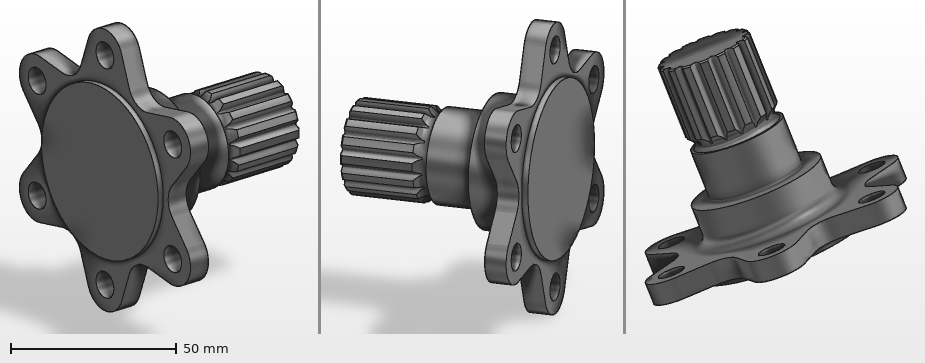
import math

import cadquery as cq


LOBE_COUNT = 6
BOLT_CIRCLE_RADIUS = 37.5
BOLT_HOLE_DIAMETER = 8.5
LOBE_RADIUS = 8.5
WAIST_RADIUS = 8.0
LOBE_TAPER = math.radians(20)
DISC_RADIUS = 27.9
DISC_THICKNESS = 2.0
FLANGE_THICKNESS = 7.0

SHOULDER_RADIUS = 21.0
SHOULDER_END = 22.0
SHOULDER_FILLET = 4.0
NECK_RADIUS = 15.0
NECK_END = 38.0
NECK_FILLET = 0.8

GROOVE_FLOOR_RADIUS = 13.0
GROOVE_ARC_RADIUS = 2.2
GROOVE_CENTRE_OFFSET = 1.85
GROOVE_EXIT_ANGLE = math.radians(45)
GROOVE_CENTRE_Y = NECK_END + GROOVE_CENTRE_OFFSET

SHAFT_END = 66.0
TOOTH_COUNT = 16
SPLINE_MODULE = 5 / 3
PRESSURE_ANGLE = math.radians(30)
TIP_RADIUS = NECK_RADIUS - SPLINE_MODULE / 10
ROOT_STEP = 0.01
ROOT_RADIUS = GROOVE_FLOOR_RADIUS + ROOT_STEP
TIP_HALF_ANGLE = math.radians(4.83)
ROOT_FILLET = 0.3
TIP_CHAMFER = 0.5
CUT_CLEARANCE = 0.3

FLANGE_BACK = DISC_THICKNESS + FLANGE_THICKNESS


def polar(radius, angle):
    """Point at an angle from the first axis of the sketch plane."""
    return radius * math.cos(angle), radius * math.sin(angle)


def plane_facing_shaft(y):
    """Plane at height y along the shaft: sketch x is Z, sketch y is X, normal is +Y."""
    return cq.Plane(origin=(0, y, 0), xDir=(0, 0, 1), normal=(0, 1, 0))


def offset_from(centre, radius, angle):
    """Point at a radius and angle from a given centre."""
    dx, dy = polar(radius, angle)
    return centre[0] + dx, centre[1] + dy


def make_flange():
    """Six tapered lobes joined by concave waist arcs, each lobe with a bolt hole."""
    pitch = 2 * math.pi / LOBE_COUNT
    flank_normal = math.pi / 2 - LOBE_TAPER
    flank_distance = BOLT_CIRCLE_RADIUS * math.cos(flank_normal) + LOBE_RADIUS
    waist_centre_radius = (flank_distance + WAIST_RADIUS) / math.cos(flank_normal - pitch / 2)

    def lobe_start(axis):
        return offset_from(polar(BOLT_CIRCLE_RADIUS, axis), LOBE_RADIUS, axis - flank_normal)

    base = cq.Workplane(plane_facing_shaft(DISC_THICKNESS))
    outline = base.moveTo(*lobe_start(0))
    for index in range(LOBE_COUNT):
        axis = index * pitch
        next_axis = axis + pitch
        waist_axis = axis + pitch / 2
        lobe_tip = polar(BOLT_CIRCLE_RADIUS + LOBE_RADIUS, axis)
        lobe_end = offset_from(polar(BOLT_CIRCLE_RADIUS, axis), LOBE_RADIUS, axis + flank_normal)
        waist_centre = polar(waist_centre_radius, waist_axis)
        waist_start = offset_from(waist_centre, WAIST_RADIUS, axis + flank_normal + math.pi)
        waist_middle = polar(waist_centre_radius - WAIST_RADIUS, waist_axis)
        waist_end = offset_from(waist_centre, WAIST_RADIUS, next_axis - flank_normal + math.pi)

        outline = outline.threePointArc(lobe_tip, lobe_end)
        outline = outline.lineTo(*waist_start)
        outline = outline.threePointArc(waist_middle, waist_end)
        if index < LOBE_COUNT - 1:
            outline = outline.lineTo(*lobe_start(next_axis))
    flange = outline.close().extrude(FLANGE_THICKNESS)

    holes = (
        base.polarArray(BOLT_CIRCLE_RADIUS, 0, 360, LOBE_COUNT)
        .circle(BOLT_HOLE_DIAMETER / 2)
        .extrude(FLANGE_THICKNESS)
    )
    return flange.cut(holes)


def make_shaft():
    """Revolved disc, shoulder, neck, relief groove and spline blank."""
    groove_centre_radius = GROOVE_FLOOR_RADIUS + GROOVE_ARC_RADIUS
    groove_start_radius = groove_centre_radius - math.sqrt(GROOVE_ARC_RADIUS**2 - GROOVE_CENTRE_OFFSET**2)
    groove_exit_radius = groove_centre_radius - GROOVE_ARC_RADIUS * math.cos(GROOVE_EXIT_ANGLE)
    groove_exit_y = GROOVE_CENTRE_Y + GROOVE_ARC_RADIUS * math.sin(GROOVE_EXIT_ANGLE)
    spline_start = groove_exit_y + (TIP_RADIUS - groove_exit_radius) / math.tan(GROOVE_EXIT_ANGLE)
    fillet_bulge = 1 - math.sqrt(0.5)
    fillet_foot_radius = SHOULDER_RADIUS + SHOULDER_FILLET

    profile = (
        cq.Workplane("XY")
        .lineTo(DISC_RADIUS, 0)
        .lineTo(DISC_RADIUS, DISC_THICKNESS)
        .lineTo(fillet_foot_radius, DISC_THICKNESS)
        .lineTo(fillet_foot_radius, FLANGE_BACK)
        .threePointArc(
            (SHOULDER_RADIUS + SHOULDER_FILLET * fillet_bulge, FLANGE_BACK + SHOULDER_FILLET * fillet_bulge),
            (SHOULDER_RADIUS, FLANGE_BACK + SHOULDER_FILLET),
        )
        .lineTo(SHOULDER_RADIUS, SHOULDER_END)
        .lineTo(NECK_RADIUS + NECK_FILLET, SHOULDER_END)
        .threePointArc(
            (NECK_RADIUS + NECK_FILLET * fillet_bulge, SHOULDER_END + NECK_FILLET * fillet_bulge),
            (NECK_RADIUS, SHOULDER_END + NECK_FILLET),
        )
        .lineTo(NECK_RADIUS, NECK_END)
        .lineTo(groove_start_radius, NECK_END)
        .threePointArc((GROOVE_FLOOR_RADIUS, GROOVE_CENTRE_Y), (groove_exit_radius, groove_exit_y))
        .lineTo(TIP_RADIUS, spline_start)
        .lineTo(TIP_RADIUS, SHAFT_END - TIP_CHAMFER)
        .lineTo(TIP_RADIUS - TIP_CHAMFER, SHAFT_END)
        .lineTo(0, SHAFT_END)
        .close()
    )
    return profile.revolve(360, (0, 0, 0), (0, 1, 0))


def make_tooth_gap():
    """Space between two spline teeth, with involute flanks and rounded root corners."""
    base_radius = SPLINE_MODULE * TOOTH_COUNT * math.cos(PRESSURE_ANGLE) / 2

    def involute(radius):
        angle = math.acos(base_radius / radius)
        return math.tan(angle) - angle

    def gap_half_angle(radius):
        tooth_half_angle = TIP_HALF_ANGLE + involute(TIP_RADIUS) - involute(radius)
        return math.pi / TOOTH_COUNT - tooth_half_angle

    outer_radius = TIP_RADIUS + CUT_CLEARANCE
    middle_radius = (ROOT_RADIUS + outer_radius) / 2
    right_flank = [polar(r, -gap_half_angle(r)) for r in (outer_radius, middle_radius, ROOT_RADIUS)]
    left_flank = [polar(r, gap_half_angle(r)) for r in (ROOT_RADIUS, middle_radius, outer_radius)]

    gap = (
        cq.Workplane(plane_facing_shaft(GROOVE_CENTRE_Y))
        .moveTo(*right_flank[0])
        .threePointArc(right_flank[1], right_flank[2])
        .lineTo(*left_flank[0])
        .threePointArc(left_flank[1], left_flank[2])
        .close()
        .extrude(SHAFT_END - GROOVE_CENTRE_Y)
    )
    return gap.edges("|Y").edges("<Z").fillet(ROOT_FILLET)


def cut_spline(shaft):
    """Cut the tooth gaps so that teeth stand on the X and Z axes."""
    pitch = 360 / TOOTH_COUNT
    gap = make_tooth_gap()
    for index in range(TOOTH_COUNT):
        shaft = shaft.cut(gap.rotate((0, 0, 0), (0, 1, 0), (index + 0.5) * pitch))
    return shaft


result = cut_spline(make_flange().union(make_shaft()))